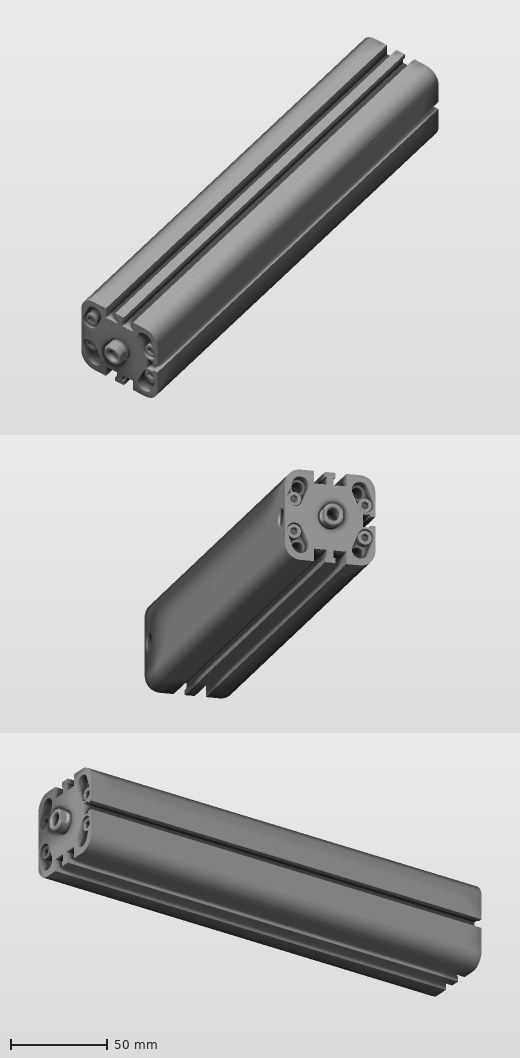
import cadquery as cq
import math

side = 49.0
total_length = 250.2
rod_projection = 6.3
body_length = total_length - rod_projection
half_side = side / 2

corner_pitch = 32.5
corner_offset = corner_pitch / 2
corner_radius = half_side - corner_offset

groove_depth = 6.8
groove_lip_depth = 2.8
groove_outer_wall = 8.8
rib_top_half_width = 2.8
rib_neck_half_width = 1.8
side_groove_mouth_width = 5.0
side_groove_width = 7.0

pocket_depth = 5.5
pocket_hole_diameter = 9.0
pocket_screw_diameter = 8.5
thread_diameter = 6.3
thread_depth = 15.0
through_diameter = 5.3
screw_x = 19.3
screw_z = 8.8
screw_head_diameter = 7.5
screw_head_recess = 1.3
hex_corner_diameter = 4.5
hex_depth = 2.5
hex_sides = 6

port_end_distance = 7.5
port_diameter = 8.5
port_mouth_diameter = 10.0
port_depth = 7.5
passage_diameter = 2.5
passage_offset = 2.3
passage_depth = 3.8

rod_diameter = 12.0
rod_clearance_diameter = 12.5
rod_clearance_depth = 1.3
rod_clearance_chamfer = 0.5
rod_clearance_taper = 45.0
rod_chamfer = 0.8
rod_flat_width = 10.0
rod_flat_start = 1.3
rod_bore_diameter = 6.8
rod_bore_mouth_diameter = 8.0
rod_bore_depth = 12.5
drill_point_angle = 118.0


def section(y):
    """Cross-section plane at y with local axes X and Z; negative extrusions run toward +Y."""
    return cq.Workplane("XZ", origin=(0, y, 0))


def cylinder_along_y(diameter, start_y, length, x=0, z=0):
    return section(start_y).center(x, z).circle(diameter / 2).extrude(-length)


def make_body():
    return section(0).rect(side, side).extrude(-body_length).edges("|Y").fillet(corner_radius)


def cut_rib_grooves(body):
    """Two undercut grooves leave a central rib on the top and bottom faces."""
    floor = half_side - groove_depth
    lip = half_side - groove_lip_depth
    groove = (
        section(0)
        .moveTo(groove_outer_wall, floor)
        .lineTo(groove_outer_wall, half_side)
        .lineTo(rib_top_half_width, half_side)
        .lineTo(rib_top_half_width, lip)
        .lineTo(rib_neck_half_width, lip)
        .lineTo(rib_neck_half_width, floor)
        .close()
        .extrude(-body_length)
    )
    groove_pair = groove.union(groove.mirror("YZ"))
    return body.cut(groove_pair).cut(groove_pair.mirror("XY"))


def cut_side_groove(body):
    """Sensor groove on the +X face, wider behind its mouth."""
    inner_depth = groove_depth - groove_lip_depth
    inner_x = half_side - groove_depth + inner_depth / 2
    mouth_x = half_side - groove_depth / 2
    inner = section(0).center(inner_x, 0).rect(inner_depth, side_groove_width).extrude(-body_length)
    mouth = section(0).center(mouth_x, 0).rect(groove_depth, side_groove_mouth_width).extrude(-body_length)
    return body.cut(inner).cut(mouth)


def make_corner_pocket(sign_x, sign_z):
    """Slot around the corner hole and the screw, bounded by tangents to both circles."""
    hole = cq.Vector(sign_x * corner_offset, sign_z * corner_offset)
    screw = cq.Vector(sign_x * screw_x, sign_z * screw_z)
    hole_radius = pocket_hole_diameter / 2
    screw_radius = pocket_screw_diameter / 2
    axis = screw - hole
    heading = math.atan2(axis.y, axis.x)
    spread = math.acos((hole_radius - screw_radius) / axis.Length)

    def rim(center, radius, angle):
        return (center.x + radius * math.cos(angle), center.y + radius * math.sin(angle))

    return (
        section(0)
        .moveTo(*rim(hole, hole_radius, heading + spread))
        .threePointArc(
            rim(hole, hole_radius, heading + math.pi),
            rim(hole, hole_radius, heading - spread),
        )
        .lineTo(*rim(screw, screw_radius, heading - spread))
        .threePointArc(
            rim(screw, screw_radius, heading),
            rim(screw, screw_radius, heading + spread),
        )
        .close()
        .extrude(-pocket_depth)
    )


def make_cap_screw(x, z):
    """Screw head standing in the pocket, with a hex socket whose corners point along Z."""
    head_length = pocket_depth - screw_head_recess
    head = cylinder_along_y(screw_head_diameter, screw_head_recess, head_length, x, z)
    socket = (
        section(screw_head_recess)
        .center(x, z)
        .transformed(rotate=(0, 0, 180 / hex_sides))
        .polygon(hex_sides, hex_corner_diameter)
        .extrude(-hex_depth)
    )
    return head.cut(socket)


def add_corner_features(body):
    for sign_x in (-1, 1):
        for sign_z in (-1, 1):
            x = sign_x * corner_offset
            z = sign_z * corner_offset
            body = body.cut(make_corner_pocket(sign_x, sign_z))
            body = body.union(make_cap_screw(sign_x * screw_x, sign_z * screw_z))
            body = body.cut(cylinder_along_y(thread_diameter, 0, thread_depth, x, z))
            body = body.cut(cylinder_along_y(through_diameter, 0, body_length, x, z))
    return body


def make_port(port_y, inward):
    """Countersunk port bore with a small passage offset toward the middle of the body."""
    bore_radius = port_diameter / 2
    mouth_radius = port_mouth_diameter / 2
    mouth_depth = mouth_radius - bore_radius
    bore = (
        cq.Workplane("XY", origin=(-half_side, port_y, 0))
        .polyline(
            [
                (0, 0),
                (0, mouth_radius),
                (mouth_depth, bore_radius),
                (port_depth, bore_radius),
                (port_depth, 0),
            ]
        )
        .close()
        .revolve(360, (0, 0), (1, 0))
    )
    passage = (
        cq.Workplane("YZ", origin=(-half_side, port_y + inward * passage_offset, 0))
        .circle(passage_diameter / 2)
        .extrude(port_depth + passage_depth)
    )
    return bore.union(passage)


def cut_ports(body):
    body = body.cut(make_port(port_end_distance, 1))
    return body.cut(make_port(body_length - port_end_distance, -1))


def make_rod_flat_cutter():
    """Prism beyond the +X wrench flat, starting with a 45 degree run-out at the rod surface."""
    flat_x = rod_flat_width / 2
    rod_radius = rod_diameter / 2
    return (
        cq.Workplane("XY")
        .polyline(
            [
                (flat_x, -rod_projection),
                (rod_radius, -rod_projection),
                (rod_radius, -rod_flat_start),
                (flat_x, -rod_flat_start - (rod_radius - flat_x)),
            ]
        )
        .close()
        .extrude(rod_radius, both=True)
    )


def make_rod_bore():
    """Countersunk blind bore with a conical bottom."""
    bore_radius = rod_bore_diameter / 2
    mouth_radius = rod_bore_mouth_diameter / 2
    straight_end = rod_bore_depth - rod_projection
    cone_length = bore_radius / math.tan(math.radians(drill_point_angle / 2))
    return (
        cq.Workplane("XY")
        .polyline(
            [
                (0, -rod_projection),
                (mouth_radius, -rod_projection),
                (bore_radius, -rod_projection + mouth_radius - bore_radius),
                (bore_radius, straight_end),
                (0, straight_end + cone_length),
            ]
        )
        .close()
        .revolve(360, (0, 0), (0, 1))
    )


def add_rod(body):
    rod_length = rod_projection + rod_clearance_depth
    rod = cylinder_along_y(rod_diameter, -rod_projection, rod_length).faces("<Y").chamfer(rod_chamfer)
    flat_cutter = make_rod_flat_cutter()
    rod = rod.cut(flat_cutter).cut(flat_cutter.mirror("YZ"))
    clearance = cylinder_along_y(rod_clearance_diameter, 0, rod_clearance_depth)
    mouth_radius = rod_clearance_diameter / 2 + rod_clearance_chamfer
    countersink = section(0).circle(mouth_radius).extrude(-rod_clearance_chamfer, taper=rod_clearance_taper)
    return body.cut(clearance).cut(countersink).union(rod).cut(make_rod_bore())


result = make_body()
result = cut_rib_grooves(result)
result = cut_side_groove(result)
result = add_corner_features(result)
result = cut_ports(result)
result = add_rod(result)